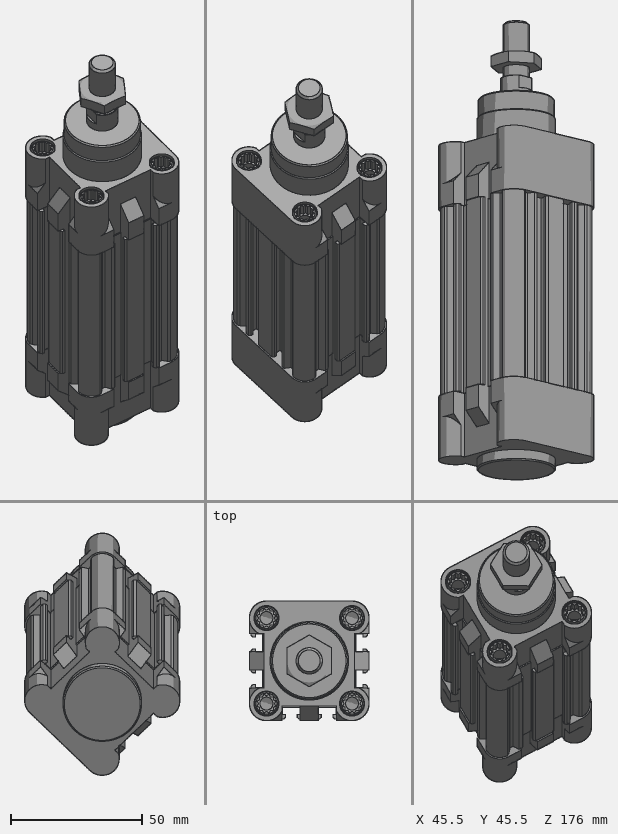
import cadquery as cq
import math

total_height = 176.0
rear_collar_height = 4.0
cap_height = 25.0
tube_length = 74.0
front_collar_height = 18.0
rear_cap_bottom = rear_collar_height
tube_bottom = rear_cap_bottom + cap_height
tube_top = tube_bottom + tube_length
front_cap_top = tube_top + cap_height
collar_top = front_cap_top + front_collar_height

cap_width = 45.5
cap_half = cap_width / 2
column_radius = 6.5
column_offset = cap_half - column_radius
core_half = 17.2
boss_height = 9.0
boss_inner = 10.4
rail_boss_half = 3.5

collar_dia = 30.0
collar_tip_dia = 29.0
collar_tip_height = 7.4
collar_step_chamfer = (collar_dia - collar_tip_dia) / 2
collar_chamfer = 0.5

tube_half = 22.2
tube_corner_radius = tube_half - column_offset
slot_floor = 17.8
lip_thickness = 1.8
lip_chamfer = 0.7
rail_neck_half = 3.5
rail_lip_half = 4.5
slot_opening_edge = 9.0
slot_undercut_edge = 10.2
groove_start = 11.0
groove_floor_start = 12.5
groove_floor_end = 13.7
groove_shoulder = 15.3
groove_shoulder_depth = 0.5
groove_end = column_offset
groove_depth = 2.3

groove_ring_dia = 9.5
head_base_dia = 9.0
head_rim_dia = 8.0
head_recess = 0.4
head_height = 0.9
socket_tooth_count = 12
socket_root_dia = 7.4
socket_tip_dia = 6.0
socket_depth = 5.3
drill_dia = 5.0
drill_depth = 14.0
drill_cone_height = 1.2

rod_dia = 12.0
rod_thread_dia = 10.0
rod_shoulder = 154.2
rod_flat_height = 5.0
rod_flat_width = 10.0
rod_shoulder_chamfer = 0.2
rod_tip_chamfer = 0.9
rod_insertion = front_collar_height + cap_height

nut_bottom = 158.4
nut_height = 4.5
nut_across_flats = 17.0
nut_chamfer_dia = 16.5
nut_chamfer_angle = 15.0

side_angles = (0, 90, 180, 270)
recessed_sides = (0, 90, 270)
corners = [(sx * column_offset, sy * column_offset) for sx in (-1, 1) for sy in (-1, 1)]


def slab(x_min, x_max, y_min, y_max, z_min, z_max):
    """Axis-aligned block between the given limits."""
    size = (x_max - x_min, y_max - y_min, z_max - z_min)
    return cq.Workplane("XY").box(*size, centered=False).translate((x_min, y_min, z_min))


def sloped_boss(x_min, x_max):
    """Block on the -Y side, standing on Z = 0, whose top rises at 45 degrees towards the core."""
    rise = cap_half - core_half
    side = [
        (-cap_half, 0),
        (-core_half, 0),
        (-core_half, boss_height + rise),
        (-cap_half, boss_height),
    ]
    return cq.Workplane("YZ").polyline(side).close().extrude(x_max - x_min).translate((x_min, 0, 0))


def corner_column(x, y):
    """Round column at (x, y), flattened where it faces the recesses beside it."""
    column = cq.Workplane("XY").circle(column_radius).extrude(cap_height).translate((x, y, 0))
    quadrant = slab(boss_inner, cap_half, boss_inner, cap_half, 0, cap_height)
    if x < 0:
        quadrant = quadrant.mirror("YZ")
    if y < 0:
        quadrant = quadrant.mirror("XZ")
    return column.intersect(quadrant)


def end_cap():
    """End cap standing on its tube side at Z = 0."""
    cap = slab(-core_half, core_half, -core_half, core_half, 0, cap_height)
    cap = cap.union(slab(-column_offset, column_offset, 0, cap_half, 0, cap_height))
    for x, y in corners:
        cap = cap.union(corner_column(x, y))
    bosses = (
        sloped_boss(-column_offset, -boss_inner)
        .union(sloped_boss(-rail_boss_half, rail_boss_half))
        .union(sloped_boss(boss_inner, column_offset))
    )
    for angle in recessed_sides:
        cap = cap.union(bosses.rotate((0, 0, 0), (0, 0, 1), angle))
    return cap


def slot_cutter(mirrored):
    """T-slot and corner groove on one half of the -Y side of the tube."""
    lip_inside = tube_half - lip_thickness
    outside = tube_half + lip_thickness
    slot = [
        (rail_neck_half, slot_floor),
        (rail_neck_half, lip_inside),
        (rail_lip_half, lip_inside),
        (rail_lip_half, tube_half - lip_chamfer),
        (rail_lip_half - lip_chamfer, tube_half),
        (rail_lip_half - lip_chamfer, outside),
        (slot_opening_edge + lip_chamfer, outside),
        (slot_opening_edge + lip_chamfer, tube_half),
        (slot_opening_edge, tube_half - lip_chamfer),
        (slot_opening_edge, lip_inside),
        (slot_undercut_edge, lip_inside),
        (slot_undercut_edge, slot_floor),
    ]
    groove = [
        (groove_start, outside),
        (groove_start, tube_half),
        (groove_floor_start, tube_half - groove_depth),
        (groove_floor_end, tube_half - groove_depth),
        (groove_shoulder, tube_half - groove_shoulder_depth),
        (groove_end, tube_half),
        (groove_end, outside),
    ]
    side = -1 if mirrored else 1
    cutter = cq.Workplane("XY")
    for outline in (slot, groove):
        cutter = cutter.polyline([(side * x, -y) for x, y in outline]).close()
    return cutter.extrude(tube_length)


def profile_tube():
    """Extruded profile with two T-slots and two grooves on each side, standing on Z = 0."""
    tube = cq.Workplane("XY").rect(2 * tube_half, 2 * tube_half).extrude(tube_length)
    tube = tube.edges("|Z").fillet(tube_corner_radius)
    for angle in side_angles:
        for mirrored in (False, True):
            tube = tube.cut(slot_cutter(mirrored).rotate((0, 0, 0), (0, 0, 1), angle))
    return tube


def mounting_socket():
    """Cutter, its mouth at Z = 0, that leaves a conical screw head with a toothed, drilled socket."""
    star = []
    for i in range(2 * socket_tooth_count):
        radius = (socket_root_dia if i % 2 else socket_tip_dia) / 2
        angle = math.pi * i / socket_tooth_count
        star.append((radius * math.cos(angle), radius * math.sin(angle)))
    teeth = cq.Workplane("XY").polyline(star).close().extrude(-socket_depth)
    bore = [
        (0, 0),
        (groove_ring_dia / 2, 0),
        (groove_ring_dia / 2, -head_recess - head_height),
        (head_base_dia / 2, -head_recess - head_height),
        (head_rim_dia / 2, -head_recess),
        (drill_dia / 2, -head_recess),
        (drill_dia / 2, -drill_depth),
        (0, -drill_depth - drill_cone_height),
    ]
    hole = cq.Workplane("XZ").polyline(bore).close().revolve(360, (0, 0, 0), (0, 1, 0))
    return teeth.union(hole)


def make_housing():
    """Tube, both end caps and both collars as one solid, open for the piston rod."""
    tube = profile_tube().translate((0, 0, tube_bottom))
    front_cap = end_cap().translate((0, 0, tube_top))
    rear_cap = end_cap().mirror("XY").translate((0, 0, tube_bottom))
    rear_collar = cq.Workplane("XY").circle(collar_dia / 2).extrude(rear_collar_height)
    rear_collar = rear_collar.faces("<Z").chamfer(collar_chamfer)
    collar_base = (
        cq.Workplane("XY", origin=(0, 0, front_cap_top))
        .circle(collar_dia / 2)
        .extrude(front_collar_height - collar_tip_height)
        .faces(">Z")
        .chamfer(collar_step_chamfer)
    )
    collar_tip = (
        cq.Workplane("XY", origin=(0, 0, collar_top))
        .circle(collar_tip_dia / 2)
        .extrude(-collar_tip_height)
        .faces(">Z")
        .chamfer(collar_chamfer)
    )
    housing = tube
    for piece in (front_cap, rear_cap, rear_collar, collar_base, collar_tip):
        housing = housing.union(piece)
    socket = mounting_socket()
    for x, y in corners:
        housing = housing.cut(socket.translate((x, y, front_cap_top)))
    rod_hole = cq.Workplane("XY", origin=(0, 0, collar_top)).circle(rod_dia / 2).extrude(-rod_insertion)
    return housing.cut(rod_hole)


def make_rod():
    """Piston rod with a threaded end and two wrench flats facing along Y."""
    rod_bottom = collar_top - rod_insertion
    rod = (
        cq.Workplane("XY", origin=(0, 0, rod_bottom))
        .circle(rod_dia / 2)
        .extrude(rod_shoulder - rod_bottom)
        .faces(">Z")
        .chamfer(rod_shoulder_chamfer)
    )
    for y_min, y_max in ((-rod_dia, -rod_flat_width / 2), (rod_flat_width / 2, rod_dia)):
        rod = rod.cut(slab(-rod_dia, rod_dia, y_min, y_max, rod_shoulder - rod_flat_height, rod_shoulder))
    threaded_end = (
        cq.Workplane("XY", origin=(0, 0, rod_shoulder))
        .circle(rod_thread_dia / 2)
        .extrude(total_height - rod_shoulder)
        .faces(">Z")
        .chamfer(rod_tip_chamfer)
    )
    return rod.union(threaded_end)


def make_nut():
    """Hexagonal lock nut, chamfered on top, with two flats facing along X."""
    across_corners = nut_across_flats / math.cos(math.pi / 6)
    nut = (
        cq.Workplane("XY")
        .polygon(6, across_corners)
        .extrude(nut_height)
        .rotate((0, 0, 0), (0, 0, 1), 30)
    )
    cone_drop = (across_corners - nut_chamfer_dia) / 2 * math.tan(math.radians(nut_chamfer_angle))
    envelope = [
        (0, 0),
        (across_corners / 2, 0),
        (across_corners / 2, nut_height - cone_drop),
        (nut_chamfer_dia / 2, nut_height),
        (0, nut_height),
    ]
    nut = nut.intersect(cq.Workplane("XZ").polyline(envelope).close().revolve(360, (0, 0, 0), (0, 1, 0)))
    nut = nut.cut(cq.Workplane("XY").circle(rod_thread_dia / 2).extrude(nut_height))
    return nut.translate((0, 0, nut_bottom))


housing = make_housing()
rod = make_rod()
nut = make_nut()

result = cq.Compound.makeCompound([housing.val(), rod.val(), nut.val()])